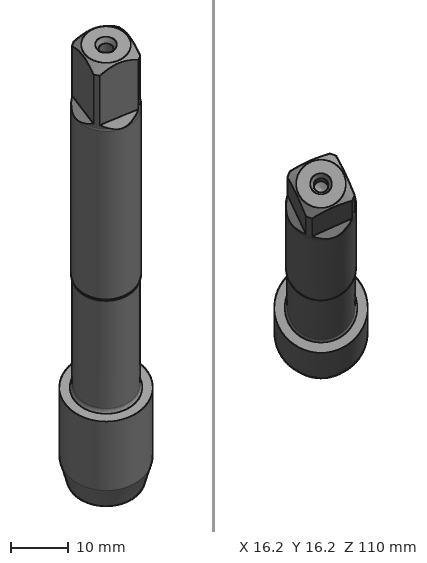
import cadquery as cq
import math

TOTAL_HEIGHT = 110.0

HEAD_DIAMETER = 16.2
HEAD_TIP_DIAMETER = 13.8
HEAD_TAPER_HEIGHT = 5.4
HEAD_TOP = 22.9

NECK_DIAMETER = 11.8
FLARE_DIAMETER = 12.5
FLARE_HEIGHT = 1.0
GRIP_DIAMETER = 12.2
GRIP_BOTTOM = 51.2
GRIP_LOWER_CHAMFER_HEIGHT = 0.7
GRIP_TOP = 94.6
GRIP_UPPER_CHAMFER_HEIGHT = 0.4
DRIVE_CORNER_DIAMETER = 12.0
DRIVE_ACROSS_FLATS = 9.2
DRIVE_FLAT_BOTTOM = 95.9
RUN_OUT_ANGLE = 48.0
DRIVE_TOP_DIAMETER = 8.6
DRIVE_TOP_CHAMFER_HEIGHT = 1.5

HOLE_DIAMETER = 2.5
HOLE_MOUTH_DIAMETER = 3.7
HOLE_DEPTH = 3.3
COUNTERSINK_ANGLE = 60.0
DRILL_POINT_ANGLE = 120.0


def cone_height(large_diameter, small_diameter, included_angle):
    """Height of a cone frustum with the given included angle in degrees."""
    half_angle = math.radians(included_angle / 2)
    return (large_diameter - small_diameter) / 2 / math.tan(half_angle)


def make_head():
    """Cylindrical head that tapers to a flat lower end."""
    profile = (
        cq.Workplane("XZ")
        .lineTo(HEAD_TIP_DIAMETER / 2, 0)
        .lineTo(HEAD_DIAMETER / 2, HEAD_TAPER_HEIGHT)
        .lineTo(HEAD_DIAMETER / 2, HEAD_TOP)
        .lineTo(0, HEAD_TOP)
        .close()
    )
    return profile.revolve(360, (0, 0), (0, 1))


def make_round_shank():
    """Turned blank of the shank, with a concave flare where it meets the head."""
    neck_radius = NECK_DIAMETER / 2
    grip_radius = GRIP_DIAMETER / 2
    corner_radius = DRIVE_CORNER_DIAMETER / 2
    profile = (
        cq.Workplane("XZ")
        .moveTo(0, HEAD_TOP)
        .lineTo(0, TOTAL_HEIGHT)
        .lineTo(DRIVE_TOP_DIAMETER / 2, TOTAL_HEIGHT)
        .lineTo(corner_radius, TOTAL_HEIGHT - DRIVE_TOP_CHAMFER_HEIGHT)
        .lineTo(corner_radius, GRIP_TOP + GRIP_UPPER_CHAMFER_HEIGHT)
        .lineTo(grip_radius, GRIP_TOP)
        .lineTo(grip_radius, GRIP_BOTTOM + GRIP_LOWER_CHAMFER_HEIGHT)
        .lineTo(neck_radius, GRIP_BOTTOM)
        .lineTo(neck_radius, HEAD_TOP + FLARE_HEIGHT)
        .tangentArcPoint((FLARE_DIAMETER / 2, HEAD_TOP), relative=False)
        .close()
    )
    return profile.revolve(360, (0, 0), (0, 1))


def make_flat_cutter():
    """Prism that cuts the +X flat and its sloping run-out."""
    flat = DRIVE_ACROSS_FLATS / 2
    outside = GRIP_DIAMETER
    run_out = (outside - flat) / math.tan(math.radians(RUN_OUT_ANGLE))
    return (
        cq.Workplane("XZ")
        .moveTo(flat, TOTAL_HEIGHT)
        .lineTo(flat, DRIVE_FLAT_BOTTOM)
        .lineTo(outside, DRIVE_FLAT_BOTTOM - run_out)
        .lineTo(outside, TOTAL_HEIGHT)
        .close()
        .extrude(GRIP_DIAMETER / 2, both=True)
    )


def make_centre_hole():
    """Countersunk blind hole with a conical floor."""
    hole_radius = HOLE_DIAMETER / 2
    countersink = cone_height(HOLE_MOUTH_DIAMETER, HOLE_DIAMETER, COUNTERSINK_ANGLE)
    drill_point = cone_height(HOLE_DIAMETER, 0, DRILL_POINT_ANGLE)
    floor = TOTAL_HEIGHT - HOLE_DEPTH
    profile = (
        cq.Workplane("XZ")
        .moveTo(0, TOTAL_HEIGHT)
        .lineTo(HOLE_MOUTH_DIAMETER / 2, TOTAL_HEIGHT)
        .lineTo(hole_radius, TOTAL_HEIGHT - countersink)
        .lineTo(hole_radius, floor)
        .lineTo(0, floor - drill_point)
        .close()
    )
    return profile.revolve(360, (0, 0), (0, 1))


def make_shank():
    """Shank with four drive flats and a centre hole."""
    shank = make_round_shank()
    flat_cutter = make_flat_cutter()
    for angle in (0, 90, 180, 270):
        shank = shank.cut(flat_cutter.rotate((0, 0, 0), (0, 0, 1), angle))
    return shank.cut(make_centre_hole())


head = make_head()
shank = make_shank()
result = cq.Compound.makeCompound([head.val(), shank.val()])